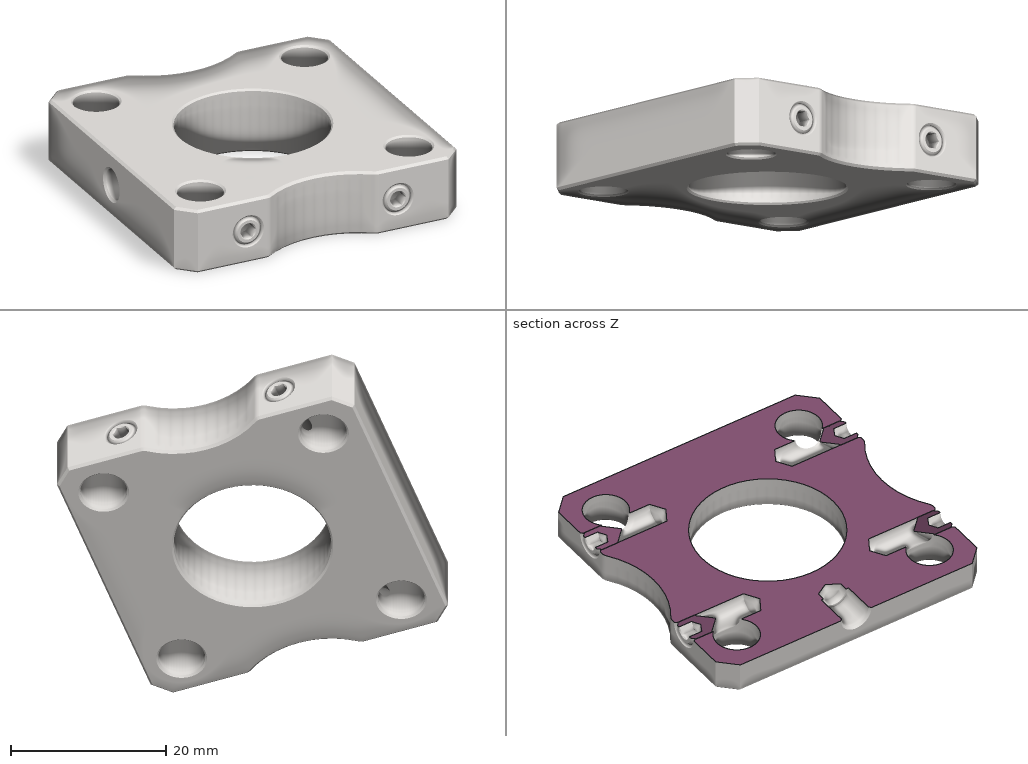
import cadquery as cq
import math

plate_side = 40.65
plate_height = 8.9
corner_chamfer = 2.28
edge_chamfer = 0.33

notch_depth = 2.55
notch_radius = 12.7
notch_edge_fillet = 1.35

bore_diameter = 20.3
rod_hole_diameter = 6.05
rod_spacing = 30.0
hole_chamfer = 0.25

mount_hole_diameter = 4.2
mount_drill_diameter = 3.45
mount_hole_depth = 4.88
mount_drill_depth = 6.1
mount_hole_chamfer = 0.3
drill_tip_angle = 118

screw_diameter = 3.95
screw_shank_length = 3.0
screw_spacing = 21.55
screw_chamfer = 0.4
screw_hole_chamfer = 0.3
screw_hole_depth = 10.55
socket_width = 2.0
socket_depth = 2.0

half_side = plate_side / 2
half_height = plate_height / 2
half_rod_spacing = rod_spacing / 2
half_screw_spacing = screw_spacing / 2


def tip_height(radius):
    """Height of the conical end that a drill of this radius leaves."""
    return radius / math.tan(math.radians(drill_tip_angle / 2))


def revolve_about_x(outline):
    """Solid of revolution about X from (x, radius) points."""
    return cq.Workplane("XY").polyline(outline).close().revolve(360, (0, 0, 0), (1, 0, 0))


def chamfered_through_hole(diameter, x, y):
    """Cutter along Z with a chamfer at the top and bottom of the plate."""
    radius = diameter / 2
    mouth_radius = radius + hole_chamfer
    outline = [
        (0, -half_height),
        (mouth_radius, -half_height),
        (radius, -half_height + hole_chamfer),
        (radius, half_height - hole_chamfer),
        (mouth_radius, half_height),
        (0, half_height),
    ]
    cutter = cq.Workplane("XZ").polyline(outline).close().revolve(360, (0, 0, 0), (0, 1, 0))
    return cutter.translate((x, y, 0))


def make_blank():
    """Square plate with cut corners, a notch in two sides and chamfered rims."""
    blank = cq.Workplane("XY").box(plate_side, plate_side, plate_height)
    blank = blank.edges("|Z").chamfer(corner_chamfer)

    notch_centre = half_side - notch_depth + notch_radius
    notches = (
        cq.Workplane("XY")
        .pushPoints([(-notch_centre, 0), (notch_centre, 0)])
        .circle(notch_radius)
        .extrude(half_height, both=True)
    )
    blank = blank.cut(notches)

    notch_half_width = math.sqrt(notch_radius**2 - (notch_radius - notch_depth) ** 2)
    notch_zone = cq.selectors.BoxSelector(
        (-plate_side, -notch_half_width - notch_edge_fillet, -plate_height),
        (plate_side, notch_half_width + notch_edge_fillet, plate_height),
    )
    blank = blank.edges("|Z").edges(notch_zone).fillet(notch_edge_fillet)
    return blank.faces("<Z or >Z").chamfer(edge_chamfer)


def make_mount_hole():
    """Chamfered bore, narrower drill hole and drill tip, opening in the -Y side."""
    bore_radius = mount_hole_diameter / 2
    drill_radius = mount_drill_diameter / 2
    cutter = revolve_about_x([
        (0, 0),
        (0, bore_radius + mount_hole_chamfer),
        (mount_hole_chamfer, bore_radius),
        (mount_hole_depth, bore_radius),
        (mount_hole_depth, drill_radius),
        (mount_drill_depth, drill_radius),
        (mount_drill_depth + tip_height(drill_radius), 0),
    ])
    return cutter.rotate((0, 0, 0), (0, 0, 1), 90).translate((0, -half_side, 0))


def make_screw_hole():
    """Chamfered blind hole from the origin along +X that breaks into a rod hole."""
    radius = screw_diameter / 2
    return revolve_about_x([
        (0, 0),
        (0, radius + screw_hole_chamfer),
        (screw_hole_chamfer, radius),
        (screw_hole_depth, radius),
        (screw_hole_depth + tip_height(radius), 0),
    ])


def make_screw():
    """Set screw along +X: 90 degree cone point, countersunk hexagon socket with a drill tip."""
    screw_radius = screw_diameter / 2
    body = revolve_about_x([
        (0, 0),
        (0, screw_radius - screw_chamfer),
        (screw_chamfer, screw_radius),
        (screw_shank_length, screw_radius),
        (screw_shank_length + screw_radius, 0),
    ])

    socket_corner_diameter = socket_width / math.cos(math.radians(30))
    socket = cq.Workplane("YZ").polygon(6, socket_corner_diameter).extrude(socket_depth)

    tip_radius = socket_width / 2
    socket_tip = revolve_about_x([
        (socket_depth, 0),
        (socket_depth, tip_radius),
        (socket_depth + tip_height(tip_radius), 0),
    ])

    mouth_radius = socket_corner_diameter / 2
    countersink = revolve_about_x([(0, 0), (0, mouth_radius), (mouth_radius, 0)])
    return body.cut(socket).cut(socket_tip).cut(countersink)


def at_screw_places(shape):
    """Copies of a shape that runs from the origin along +X, one for each screw."""
    copies = []
    for y in (-half_screw_spacing, half_screw_spacing):
        copies.append(shape.translate((-half_side, y, 0)))
        copies.append(shape.rotate((0, 0, 0), (0, 0, 1), 180).translate((half_side, y, 0)))
    return copies


def make_plate():
    plate = make_blank().cut(chamfered_through_hole(bore_diameter, 0, 0))
    for x in (-half_rod_spacing, half_rod_spacing):
        for y in (-half_rod_spacing, half_rod_spacing):
            plate = plate.cut(chamfered_through_hole(rod_hole_diameter, x, y))
    plate = plate.cut(make_mount_hole())
    for screw_hole in at_screw_places(make_screw_hole()):
        plate = plate.cut(screw_hole)
    return plate


plate = make_plate()
set_screws = at_screw_places(make_screw())

result = cq.Compound.makeCompound([plate.val(), *[screw.val() for screw in set_screws]])